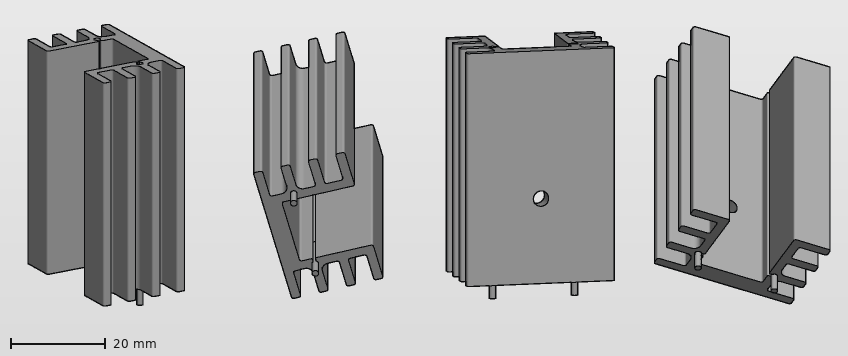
import cadquery as cq

width = 32.0
depth = 20.0
pin_exposed = 4.0
sink_height = 54.0 - pin_exposed

fin_thickness = 2.0
fin_depths = (0.0, 6.0, 12.0, 18.0)
pin_fin = 1
plate_thickness = 4.0
channel_half = 7.5
wall_outer = 9.5
corner_radius = 0.5
pin_fin_radius = 1.5

pin_diameter = 1.4
pin_x = 8.9
pin_y = depth / 2 - fin_depths[pin_fin] - fin_thickness / 2
pin_insertion = 8.0
slot_width = 0.6
slot_lip_radius = 0.25

mount_diameter = 3.3
mount_z = 18.25


def box(x_min, x_max, y_min, y_max):
    """Upright block of the full sink height, standing on Z = 0."""
    return (
        cq.Workplane("XY")
        .center((x_min + x_max) / 2, (y_min + y_max) / 2)
        .rect(x_max - x_min, y_max - y_min)
        .extrude(sink_height)
    )


def edges_at(x, y):
    """Selector for the vertical edge through (x, y), and its mirror image in X."""
    reach = 0.025
    right = cq.selectors.BoxSelector((x - reach, y - reach, 0), (x + reach, y + reach, sink_height))
    left = cq.selectors.BoxSelector((-x - reach, y - reach, 0), (-x + reach, y + reach, sink_height))
    return right + left


def make_profile():
    """Plate, walls and fins, with all vertical corners rounded."""
    back = depth / 2
    plate_face = back - plate_thickness
    body = box(-wall_outer, wall_outer, plate_face, back)
    for x_min, x_max in ((-wall_outer, -channel_half), (channel_half, wall_outer)):
        body = body.union(box(x_min, x_max, -back, back))
    for fin_depth in fin_depths:
        fin_back = back - fin_depth
        fin_front = fin_back - fin_thickness
        for x_min, x_max in ((-width / 2, -channel_half), (channel_half, width / 2)):
            body = body.union(box(x_min, x_max, fin_front, fin_back))
    body = body.clean()

    for index, fin_depth in enumerate(fin_depths):
        root_radius = pin_fin_radius if index == pin_fin else corner_radius
        fin_back = back - fin_depth
        fin_front = fin_back - fin_thickness
        body = body.edges(edges_at(width / 2, fin_back)).fillet(corner_radius)
        body = body.edges(edges_at(width / 2, fin_front)).fillet(corner_radius)
        if index > 0:
            body = body.edges(edges_at(wall_outer, fin_back)).fillet(root_radius)
        if index < len(fin_depths) - 1:
            body = body.edges(edges_at(wall_outer, fin_front)).fillet(root_radius)
    for y in (plate_face, -back):
        body = body.edges(edges_at(channel_half, y)).fillet(corner_radius)
    return body


def cut_pin_bores(body):
    """Full-height bores with slots that open into the channel."""
    slot_min = pin_y - slot_width / 2
    slot_max = pin_y + slot_width / 2
    for x_min, x_max in ((-pin_x, 0), (0, pin_x)):
        body = body.cut(box(x_min, x_max, slot_min, slot_max))
    for y in (slot_min, slot_max):
        body = body.edges(edges_at(channel_half, y)).fillet(slot_lip_radius)
    bores = (
        cq.Workplane("XY")
        .pushPoints([(-pin_x, pin_y), (pin_x, pin_y)])
        .circle(pin_diameter / 2)
        .extrude(sink_height)
    )
    return body.cut(bores)


def cut_mount_hole(body):
    """Round hole through the back plate along Y."""
    hole = cq.Workplane("XZ").center(0, mount_z).circle(mount_diameter / 2).extrude(depth, both=True)
    return body.cut(hole)


def make_pin(x):
    """Round pin seated in the lower end of a bore and projecting below the sink."""
    return (
        cq.Workplane("XY", origin=(x, pin_y, -pin_exposed))
        .circle(pin_diameter / 2)
        .extrude(pin_exposed + pin_insertion)
    )


heat_sink = cut_mount_hole(cut_pin_bores(make_profile()))

pins = []
for x in (-pin_x, pin_x):
    pins.append(make_pin(x).val())

result = cq.Compound.makeCompound([heat_sink.val(), *pins])